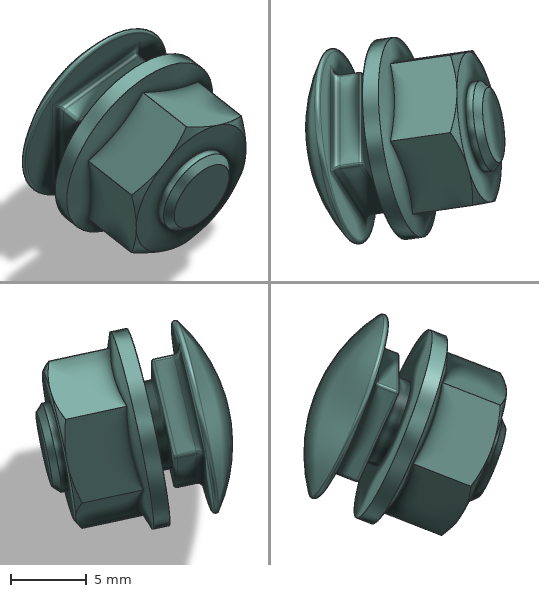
import cadquery as cq
import math

thread_diameter = 6.0
thread_radius = thread_diameter / 2

head_diameter = 13.0
head_height = 2.45
rim_radius = 0.2
rim_centre_radius = head_diameter / 2 - rim_radius
dome_rise = head_height - 2 * rim_radius
dome_radius = rim_radius + (rim_centre_radius**2 + dome_rise**2) / (2 * dome_rise)
dome_centre_x = dome_radius - head_height

neck_width = 7.0
neck_length = 2.0
neck_head_fillet = 0.5
neck_corner_radius = 0.2
neck_end_round = 0.2
neck_shank_fillet = 0.2

shank_length = 10.0
shank_chamfer = 0.5

nut_start = 3.0
nut_height = 6.0
nut_end = nut_start + nut_height
flange_diameter = 13.3
flange_radius = flange_diameter / 2
flange_thickness = 1.1
flange_end = nut_start + flange_thickness
flange_cone_angle = 20.0
across_flats = 10.0
across_corners = across_flats / math.cos(math.radians(30))
nut_chamfer_angle = 30.0


def revolve_about_x(profile):
    """Turn a closed XY profile, drawn on the +Y side, fully around the X axis."""
    return profile.close().revolve(360, (0, 0, 0), (1, 0, 0))


def point_at(centre_x, centre_y, radius, angle):
    """Point on a circle, with the angle measured from -X towards +Y."""
    return (centre_x - radius * math.cos(angle), centre_y + radius * math.sin(angle))


def make_head():
    rim_angle = math.atan2(rim_centre_radius, dome_centre_x + rim_radius)
    rim_middle_angle = (rim_angle + math.pi) / 2
    dome_middle = point_at(dome_centre_x, 0, dome_radius, rim_angle / 2)
    dome_edge = point_at(dome_centre_x, 0, dome_radius, rim_angle)
    rim_middle = point_at(-rim_radius, rim_centre_radius, rim_radius, rim_middle_angle)
    profile = (
        cq.Workplane("XY")
        .moveTo(0, 0)
        .lineTo(-head_height, 0)
        .threePointArc(dome_middle, dome_edge)
        .threePointArc(rim_middle, (0, rim_centre_radius))
    )
    return revolve_about_x(profile)


def edges_near(x, half_width):
    """Selector for edges lying wholly at x and within a square of that half width about the axis."""
    margin = neck_end_round / 2
    return cq.selectors.BoxSelector(
        (x - margin, -half_width, -half_width),
        (x + margin, half_width, half_width),
        boundingbox=True,
    )


def make_headed_neck():
    neck = cq.Workplane("YZ").rect(neck_width, neck_width).extrude(neck_length)
    root_edges = edges_near(0, neck_width / 2 + neck_head_fillet)
    return (
        make_head()
        .union(neck)
        .edges(root_edges)
        .fillet(neck_head_fillet)
        .edges("|X")
        .fillet(neck_corner_radius)
        .faces(">X")
        .edges()
        .fillet(neck_end_round)
    )


def make_shank():
    return (
        cq.Workplane("YZ", origin=(neck_length, 0, 0))
        .circle(thread_radius)
        .extrude(shank_length - neck_length)
        .faces(">X")
        .chamfer(shank_chamfer)
    )


def make_bolt():
    return (
        make_headed_neck()
        .union(make_shank())
        .edges(edges_near(neck_length, neck_width / 2))
        .edges("%CIRCLE")
        .fillet(neck_shank_fillet)
    )


def make_flange():
    cone_height = flange_radius * math.tan(math.radians(flange_cone_angle))
    profile = (
        cq.Workplane("XY")
        .moveTo(nut_start, 0)
        .lineTo(nut_start, flange_radius)
        .lineTo(flange_end, flange_radius)
        .lineTo(flange_end + cone_height, 0)
    )
    return revolve_about_x(profile)


def make_hexagon():
    prism = (
        cq.Workplane("YZ", origin=(nut_start, 0, 0))
        .transformed(rotate=(0, 0, 90))
        .polygon(6, across_corners)
        .extrude(nut_height)
    )
    corner_radius = across_corners / 2
    flat_radius = across_flats / 2
    chamfer_length = (corner_radius - flat_radius) * math.tan(math.radians(nut_chamfer_angle))
    envelope = revolve_about_x(
        cq.Workplane("XY")
        .moveTo(nut_start, 0)
        .lineTo(nut_start, corner_radius)
        .lineTo(nut_end - chamfer_length, corner_radius)
        .lineTo(nut_end, flat_radius)
        .lineTo(nut_end, 0)
    )
    return prism.intersect(envelope)


def make_nut():
    bore = cq.Workplane("YZ", origin=(nut_start, 0, 0)).circle(thread_radius).extrude(nut_height)
    return make_flange().union(make_hexagon()).cut(bore)


bolt = make_bolt()
nut = make_nut()

result = cq.Compound.makeCompound([bolt.val(), nut.val()])